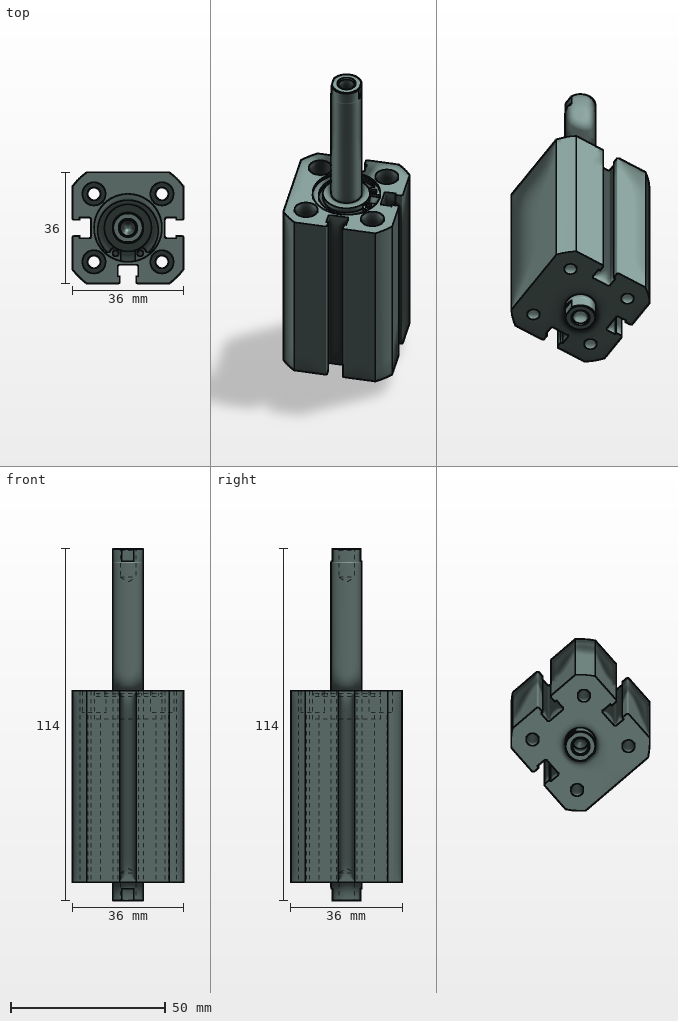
import cadquery as cq
import math


WIDTH = 36.0
HEIGHT = 62.0
CORNER_RADIUS = 22.5
BOLT_PITCH = 22.0
BOLT_HOLE_DIAMETER = 4.1
COUNTERBORE_DIAMETER = 7.5
COUNTERBORE_DEPTH = 7.0

SLOT_DEPTH = 6.0
SLOT_WIDTH = 6.6
SLOT_MOUTH_WIDTH = 5.2
SLOT_LIP = 2.4
SLOT_EDGE_RADIUS = 0.6
SLOT_FLOOR_FILLET = 0.6
SLOT_SIDE_ANGLES = (0, 90, -90)

BORE_DIAMETER = 22.0
BORE_DEPTH = 9.1
RING_TOP_DEPTH = 0.8
RING_THICKNESS = 1.0

BOSS_DIAMETER = 15.3

RING_INNER_DIAMETER = 19.6
RING_INNER_OFFSET = 0.8
RING_GAP = 4.8
EAR_X = 4.0
EAR_Y = -8.2
EAR_RADIUS = 1.9
EAR_ROOT_FILLET = 0.7
EAR_HOLE_DIAMETER = 1.9

ROD_DIAMETER = 10.0
ROD_ABOVE = 45.9
ROD_LENGTH = 114.0
NECK_DIAMETER = 9.9
NECK_LENGTH = 4.3
FLAT_LENGTH = 4.0
ACROSS_FLATS = 9.1
ROD_EDGE_CHAMFER = 0.2
ROD_HOLE_DIAMETER = 5.1
ROD_HOLE_DEPTH = 9.1
ROD_HOLE_CHAMFER = 0.5
DRILL_POINT_ANGLE = 118

ROD_BOTTOM = HEIGHT + ROD_ABOVE - ROD_LENGTH
BORE_FLOOR = HEIGHT - BORE_DEPTH
RING_TOP = HEIGHT - RING_TOP_DEPTH
RING_BOTTOM = RING_TOP - RING_THICKNESS


def cylinder(diameter, bottom, top):
    return cq.Workplane("XY").workplane(offset=bottom).circle(diameter / 2).extrude(top - bottom)


def sensor_slot():
    """Cutter for the T-slot in the -Y side, whose mouth edges are rounded."""
    side = -WIDTH / 2
    mouth = SLOT_MOUTH_WIDTH / 2
    half = SLOT_WIDTH / 2
    shoulder = side + SLOT_LIP
    floor = side + SLOT_DEPTH
    flare = mouth + SLOT_EDGE_RADIUS
    round_end = side + SLOT_EDGE_RADIUS
    arc_sag = SLOT_EDGE_RADIUS * (1 - math.cos(math.radians(45)))
    slot = (
        cq.Workplane("XY")
        .moveTo(flare, side)
        .threePointArc((mouth + arc_sag, side + arc_sag), (mouth, round_end))
        .lineTo(mouth, shoulder)
        .lineTo(half, shoulder)
        .lineTo(half, floor)
        .lineTo(-half, floor)
        .lineTo(-half, shoulder)
        .lineTo(-mouth, shoulder)
        .lineTo(-mouth, round_end)
        .threePointArc((-mouth - arc_sag, side + arc_sag), (-flare, side))
        .close()
        .extrude(HEIGHT)
    )
    return slot.edges("|Z and >Y").fillet(SLOT_FLOOR_FILLET)


def make_housing():
    block = cq.Workplane("XY").rect(WIDTH, WIDTH).extrude(HEIGHT)
    housing = block.intersect(cylinder(2 * CORNER_RADIUS, 0, HEIGHT))
    slot = sensor_slot()
    for angle in SLOT_SIDE_ANGLES:
        housing = housing.cut(slot.rotate((0, 0, 0), (0, 0, 1), angle))
    housing = (
        housing.faces(">Z").workplane(origin=(0, 0, HEIGHT))
        .rect(BOLT_PITCH, BOLT_PITCH, forConstruction=True).vertices()
        .cboreHole(BOLT_HOLE_DIAMETER, COUNTERBORE_DIAMETER, COUNTERBORE_DEPTH)
    )
    housing = housing.cut(cylinder(BORE_DIAMETER, BORE_FLOOR, HEIGHT))
    return housing.cut(cylinder(ROD_DIAMETER, 0, HEIGHT))


def make_collar():
    """Flange below the retaining ring with a boss that ends level with the housing."""
    flange = cylinder(BORE_DIAMETER, BORE_FLOOR, RING_BOTTOM)
    boss = cylinder(BOSS_DIAMETER, BORE_FLOOR, HEIGHT)
    return flange.union(boss).cut(cylinder(ROD_DIAMETER, BORE_FLOOR, HEIGHT))


def make_retaining_ring():
    """Open tapered ring with two round ears, each with a plier hole, beside the gap."""
    plane = cq.Workplane("XY").workplane(offset=RING_BOTTOM)
    ear_centres = [(-EAR_X, EAR_Y), (EAR_X, EAR_Y)]
    disc = plane.circle(BORE_DIAMETER / 2).extrude(RING_THICKNESS)
    opening = plane.center(0, -RING_INNER_OFFSET).circle(RING_INNER_DIAMETER / 2).extrude(RING_THICKNESS)
    ears = plane.pushPoints(ear_centres).circle(EAR_RADIUS).extrude(RING_THICKNESS)
    ear_top = EAR_Y + EAR_RADIUS
    between_ears = plane.center(0, ear_top - BORE_DIAMETER / 2).rect(2 * EAR_X, BORE_DIAMETER)
    between_ears = between_ears.extrude(RING_THICKNESS)
    opening = opening.cut(ears).cut(between_ears)
    root_edges = cq.selectors.BoxSelector(
        (-BORE_DIAMETER, EAR_Y - EAR_RADIUS, RING_BOTTOM),
        (BORE_DIAMETER, EAR_Y + EAR_RADIUS / 2, RING_TOP),
    )
    opening = opening.edges("|Z").edges(root_edges).fillet(EAR_ROOT_FILLET)
    gap = plane.center(0, -BORE_DIAMETER / 2).rect(RING_GAP, BORE_DIAMETER).extrude(RING_THICKNESS)
    holes = plane.pushPoints(ear_centres).circle(EAR_HOLE_DIAMETER / 2).extrude(RING_THICKNESS)
    boss = cylinder(BOSS_DIAMETER, RING_BOTTOM, RING_TOP)
    return disc.cut(opening).cut(boss).cut(gap).cut(holes)


def rod_half():
    """Upper half of the rod, from its middle at Z = 0, with the neck, flats and hole of its end."""
    end = ROD_LENGTH / 2
    neck_start = end - NECK_LENGTH
    hole_radius = ROD_HOLE_DIAMETER / 2
    hole_floor = end - ROD_HOLE_DEPTH
    hole_tip = hole_floor - hole_radius / math.tan(math.radians(DRILL_POINT_ANGLE / 2))
    profile = [
        (0, 0),
        (ROD_DIAMETER / 2, 0),
        (ROD_DIAMETER / 2, neck_start - ROD_EDGE_CHAMFER),
        (NECK_DIAMETER / 2, neck_start),
        (NECK_DIAMETER / 2, end - ROD_EDGE_CHAMFER),
        (NECK_DIAMETER / 2 - ROD_EDGE_CHAMFER, end),
        (hole_radius + ROD_HOLE_CHAMFER, end),
        (hole_radius, end - ROD_HOLE_CHAMFER),
        (hole_radius, hole_floor),
        (0, hole_tip),
    ]
    half = cq.Workplane("XZ").polyline(profile).close().revolve(360, (0, 0), (0, 1))
    flat_start = end - FLAT_LENGTH
    between_flats = cq.Workplane("XY").workplane(offset=flat_start).rect(ROD_DIAMETER, ACROSS_FLATS)
    waste = cylinder(2 * ROD_DIAMETER, flat_start, end).cut(between_flats.extrude(FLAT_LENGTH))
    return half.cut(waste)


def make_rod():
    upper = rod_half()
    rod = upper.union(upper.mirror("XY"))
    return rod.translate((0, 0, ROD_BOTTOM + ROD_LENGTH / 2))


housing = make_housing()
collar = make_collar()
retaining_ring = make_retaining_ring()
rod = make_rod()

result = cq.Compound.makeCompound([housing.val(), collar.val(), retaining_ring.val(), rod.val()])